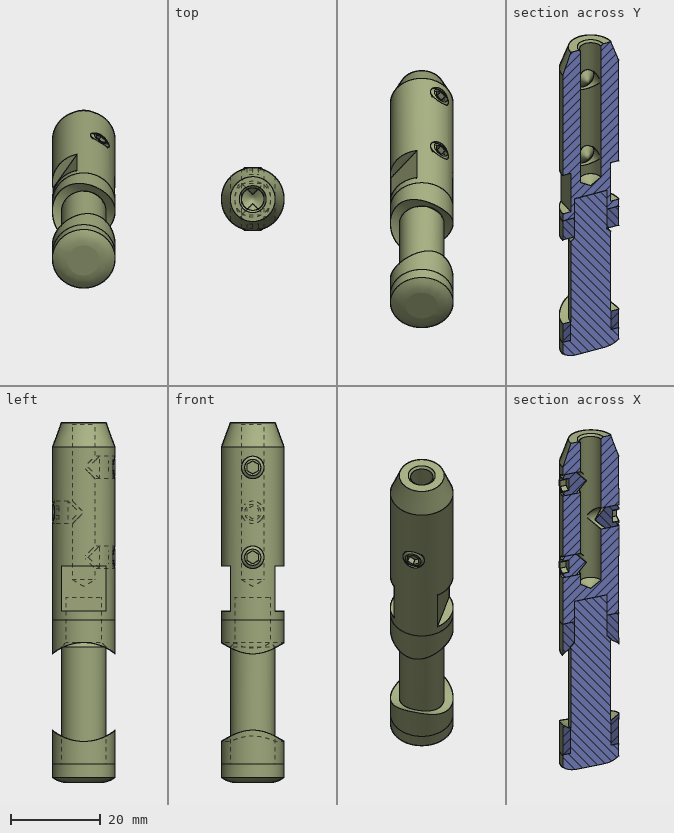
import cadquery as cq
import math

OUTER_RADIUS = 7.0
TOTAL_HEIGHT = 80.2
CUT_CLEARANCE = 1.0

HEAD_RIM_HEIGHT = 1.2
HEAD_RIM_RADIUS = 5.5
HEAD_THICKNESS = 3.0
ROD_RADIUS = 5.0
ROD_CHAMFER = 1.0
STUD_RADIUS = ROD_RADIUS - ROD_CHAMFER
STUD_DEPTH_IN_HOUSING = 5.0

SADDLE_RADIUS = 11.0
LOWER_RING_WAIST = 5.0
UPPER_RING_WAIST = 5.0

TAPER_ANGLE = 20.0
NOSE_RADIUS = 5.0
FLAT_HEIGHT = 10.0
FLAT_ACROSS = 10.0
FLAT_RAISE = 2.0
BORE_RADIUS = 2.5
BORE_CHAMFER = 0.5
BORE_DEPTH = 35.0
DRILL_POINT_ANGLE = 118.0

SCREW_PITCH = 10.0
SCREW_SIDES = (-1, 1, -1)
SCREW_RADIUS = 2.5
SCREW_LENGTH = 6.0
SCREW_FACE_OFFSET = 7.0
SCREW_FACE_RADIUS = 1.8
SCREW_CHAMFER_DEPTH = 0.5
SOCKET_ACROSS_FLATS = 2.5
SOCKET_DEPTH = 1.5

head_edge_z = HEAD_RIM_HEIGHT
head_top_z = head_edge_z + HEAD_THICKNESS
saddle_axis_z = head_top_z + LOWER_RING_WAIST + SADDLE_RADIUS
saddle_crown_z = saddle_axis_z + SADDLE_RADIUS
housing_base_z = saddle_crown_z + UPPER_RING_WAIST
stud_end_z = housing_base_z + STUD_DEPTH_IN_HOUSING


def make_spindle():
    """Head with a flat underside and a rounded rim, rod, chamfered shoulder and stud, as one turned solid."""
    edge_angle = math.acos(1 - HEAD_RIM_HEIGHT / HEAD_RIM_RADIUS)
    underside_radius = OUTER_RADIUS - HEAD_RIM_RADIUS * math.sin(edge_angle)
    rim_middle = (
        underside_radius + HEAD_RIM_RADIUS * math.sin(edge_angle / 2),
        HEAD_RIM_RADIUS * (1 - math.cos(edge_angle / 2)),
    )
    return (
        cq.Workplane("XZ")
        .moveTo(0, 0)
        .lineTo(underside_radius, 0)
        .threePointArc(rim_middle, (OUTER_RADIUS, head_edge_z))
        .lineTo(OUTER_RADIUS, head_top_z)
        .lineTo(ROD_RADIUS, head_top_z)
        .lineTo(ROD_RADIUS, saddle_crown_z - ROD_CHAMFER)
        .lineTo(STUD_RADIUS, saddle_crown_z)
        .lineTo(STUD_RADIUS, stud_end_z)
        .lineTo(0, stud_end_z)
        .close()
        .revolve(360, (0, 0, 0), (0, 1, 0))
    )


def make_saddle_ring(bottom_z, top_z, spindle):
    """Ring around the spindle whose inner end is shaped by the cross cylinder."""
    blank = cq.Workplane("XY").workplane(offset=bottom_z).circle(OUTER_RADIUS).extrude(top_z - bottom_z)
    cross_cylinder = (
        cq.Workplane("YZ")
        .center(0, saddle_axis_z)
        .circle(SADDLE_RADIUS)
        .extrude(OUTER_RADIUS + CUT_CLEARANCE, both=True)
    )
    return blank.cut(cross_cylinder).cut(spindle)


def outward_plane(side, axis_z):
    """Plane through the part axis, facing out along a screw axis."""
    return cq.Plane(origin=(0, 0, axis_z), xDir=(1, 0, 0), normal=(0, side, 0))


def make_screw(side, axis_z):
    """Set screw with a chamfered hexagon socket end facing outward and a 90 degree cone point inward."""
    outward = outward_plane(side, axis_z)
    tip = SCREW_FACE_OFFSET - SCREW_LENGTH
    body = (
        cq.Workplane("YZ", origin=(0, 0, axis_z))
        .moveTo(side * tip, 0)
        .lineTo(side * (tip + SCREW_RADIUS), SCREW_RADIUS)
        .lineTo(side * (SCREW_FACE_OFFSET - SCREW_CHAMFER_DEPTH), SCREW_RADIUS)
        .lineTo(side * SCREW_FACE_OFFSET, SCREW_FACE_RADIUS)
        .lineTo(side * SCREW_FACE_OFFSET, 0)
        .close()
        .revolve(360, (0, 0, 0), (1, 0, 0))
    )
    socket = (
        cq.Workplane(outward)
        .workplane(offset=SCREW_FACE_OFFSET - SOCKET_DEPTH)
        .polygon(6, SOCKET_ACROSS_FLATS, circumscribed=True)
        .extrude(SOCKET_DEPTH)
    )
    return body.cut(socket)


def screw_axis_z(index):
    """Height of a screw axis, counted from the housing top."""
    return TOTAL_HEIGHT - (index + 1) * SCREW_PITCH


def make_housing(spindle):
    """Tapered cylinder with a blind bore, two wrench flats, screw holes and the stud hole."""
    taper_height = (OUTER_RADIUS - NOSE_RADIUS) / math.tan(math.radians(TAPER_ANGLE))
    point_height = BORE_RADIUS / math.tan(math.radians(DRILL_POINT_ANGLE / 2))
    bore_floor_z = TOTAL_HEIGHT - BORE_DEPTH
    housing = (
        cq.Workplane("XZ")
        .moveTo(0, housing_base_z)
        .lineTo(OUTER_RADIUS, housing_base_z)
        .lineTo(OUTER_RADIUS, TOTAL_HEIGHT - taper_height)
        .lineTo(NOSE_RADIUS, TOTAL_HEIGHT)
        .lineTo(BORE_RADIUS + BORE_CHAMFER, TOTAL_HEIGHT)
        .lineTo(BORE_RADIUS, TOTAL_HEIGHT - BORE_CHAMFER)
        .lineTo(BORE_RADIUS, bore_floor_z)
        .lineTo(0, bore_floor_z - point_height)
        .close()
        .revolve(360, (0, 0, 0), (0, 1, 0))
    )
    flat_depth = OUTER_RADIUS - FLAT_ACROSS / 2
    for side in (-1, 1):
        flat_center = (
            side * (FLAT_ACROSS + flat_depth) / 2,
            0,
            housing_base_z + FLAT_RAISE + FLAT_HEIGHT / 2,
        )
        flat_cut = cq.Workplane("XY").box(flat_depth, 2 * OUTER_RADIUS, FLAT_HEIGHT).translate(flat_center)
        housing = housing.cut(flat_cut)
    for index, side in enumerate(SCREW_SIDES):
        outward = outward_plane(side, screw_axis_z(index))
        screw_hole = cq.Workplane(outward).circle(SCREW_RADIUS).extrude(OUTER_RADIUS + CUT_CLEARANCE)
        housing = housing.cut(screw_hole)
    return housing.cut(spindle)


spindle = make_spindle()
lower_ring = make_saddle_ring(head_top_z, saddle_axis_z, spindle)
upper_ring = make_saddle_ring(saddle_axis_z, housing_base_z, spindle)
housing = make_housing(spindle)
screws = [make_screw(side, screw_axis_z(index)) for index, side in enumerate(SCREW_SIDES)]

result = cq.Compound.makeCompound(
    [
        housing.val(),
        upper_ring.val(),
        lower_ring.val(),
        spindle.val(),
        *[screw.val() for screw in screws],
    ]
)